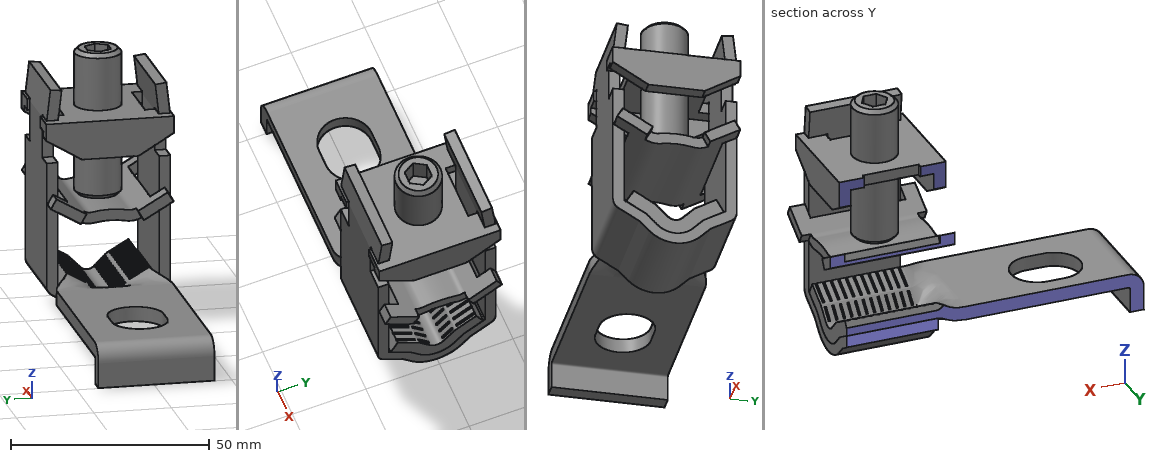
import cadquery as cq
import math


TROUGH_RADIUS = 9.4
STEEP_SLOPE = math.radians(45)
FLAT_SLOPE = math.radians(30)
STEEP_RUN = 2.6

SHEET = 2.9
CAGE_LENGTH = 25.1
CAGE_HALF_WIDTH = 16.0
SHOULDER_Z = 43.35
NECK_WIDTH = 14.6
EAR_BEND_Z = 54.0
EAR_BOTTOM_Z = 54.5
EAR_LENGTH = 8.7
EAR_TILT = math.radians(6.6)

STRAP_THICKNESS = 3.9
STRAP_WIDTH = 30.0
STRAP_TOP_Z = 11.9
STRAP_LEFT_X = -68.9
HOOK_BOTTOM_Z = 0.95
HOOK_INNER_RADIUS = 0.5
TRANSITION_START_X = -20.2
TRANSITION_STEPS = [(1.7, 0.09), (4.6, 0.5)]
TROUGH_EDGE_Y = 10.7
SLOT_LENGTH = 18.9
SLOT_WIDTH = 14.3
SLOT_X = -46.8
TROUGH_START_X = -12.2
GROOVE_PITCH = 2.1
GROOVE_WIDTH = 0.4
GROOVE_DEPTH = 0.2
GROOVE_COUNT = 12
GROOVE_ROW_GAP = 0.7

BRIDGE_TOP_Z = 54.3
BRIDGE_LENGTH = 29.2
BRIDGE_WIDTH = 33.0
BRIDGE_DEPTH = 9.9
BRIDGE_END_HEIGHT = 4.4
BRIDGE_FOOT_WIDTH = 14.6
FLANGE_THICKNESS = 3.35
BRIDGE_NOTCH_LENGTH = 15.3
BRIDGE_NOTCH_Y = 10.5

SCREW_DIAMETER = 12.0
SCREW_TOP_Z = 69.1
SCREW_TIP_Z = 30.8
SCREW_CHAMFER = 1.0
SOCKET_ACROSS_FLATS = 6.0
SOCKET_DEPTH = 6.0

FOLD_Y = 5.25
FOLD_Z = 33.1
FOLD_INNER_RADIUS = 2.8
ARM_SLOPE = math.radians(30)
ARM_LENGTH = 8.95
ARM_SPAN_X = 34.2
MIDDLE_SPAN_X = 29.2
PRONG_GAP = 26.0
PRONG_LENGTH = 4.3

CAGE_INNER_HALF_WIDTH = CAGE_HALF_WIDTH - SHEET


def polar(center, radius, angle):
    """Point at a distance from a center; the angle is measured from straight down toward +Y."""
    return center[0] + radius * math.sin(angle), center[1] - radius * math.cos(angle)


def mirrored(points):
    """The same points on the -Y side, in reverse order."""
    return [(-y, z) for y, z in reversed(points)]


def extrude_x(profile, length):
    """Extrude a YZ profile evenly to both sides of X = 0."""
    return profile.extrude(length / 2, both=True)


def arc_end(depth):
    """Upper end of the round bottom, on the trough surface at a depth inside the outer face."""
    return polar((0, TROUGH_RADIUS), TROUGH_RADIUS - depth, STEEP_SLOPE)


def kink(depth):
    """Edge between the steep and the flat slope, at a depth inside the outer face."""
    outer_y, outer_z = arc_end(0)
    outer_kink = (outer_y + STEEP_RUN, outer_z + STEEP_RUN * math.tan(STEEP_SLOPE))
    half_turn = (STEEP_SLOPE - FLAT_SLOPE) / 2
    return polar(outer_kink, -depth / math.cos(half_turn), FLAT_SLOPE + half_turn)


def flat_slope_point(depth, y):
    """Point of the flat slope at a given Y, at a depth inside the outer face."""
    kink_y, kink_z = kink(depth)
    return y, kink_z + (y - kink_y) * math.tan(FLAT_SLOPE)


def make_cage():
    corner = flat_slope_point(SHEET, CAGE_INNER_HALF_WIDTH)
    bend_angles = (FLAT_SLOPE, (FLAT_SLOPE + math.pi / 2) / 2, math.pi / 2)
    outer_bend = [polar(corner, SHEET, angle) for angle in bend_angles]

    bend_outer = (CAGE_HALF_WIDTH, EAR_BEND_Z)
    bend_inner = (CAGE_INNER_HALF_WIDTH, EAR_BEND_Z - SHEET * math.tan(EAR_TILT / 2))
    lean = math.pi + EAR_TILT
    wall_top = [bend_outer, polar(bend_outer, EAR_LENGTH, lean)]
    wall_top.append(polar(wall_top[1], -SHEET, math.pi / 2 + EAR_TILT))
    wall_top.append(bend_inner)

    inner = [corner, kink(SHEET), arc_end(SHEET)]
    left_outer = mirrored([arc_end(0), kink(0)])
    left_inner = mirrored(inner)
    left_bend = mirrored(outer_bend)
    profile = (
        cq.Workplane("YZ")
        .moveTo(*left_outer[1])
        .threePointArc((0, 0), arc_end(0))
        .lineTo(*kink(0))
        .lineTo(*outer_bend[0])
        .threePointArc(outer_bend[1], outer_bend[2])
    )
    for point in wall_top + inner:
        profile = profile.lineTo(*point)
    profile = profile.threePointArc((0, SHEET), left_inner[0])
    for point in left_inner[1:] + mirrored(wall_top):
        profile = profile.lineTo(*point)
    profile = (
        profile.lineTo(*left_bend[0])
        .threePointArc(left_bend[1], left_bend[2])
        .lineTo(*left_outer[0])
        .close()
    )
    cage = extrude_x(profile, CAGE_LENGTH)

    notch_length = (CAGE_LENGTH - NECK_WIDTH) / 2
    for side in (-1, 1):
        notch = cq.Workplane("XY").box(
            notch_length, 2 * CAGE_HALF_WIDTH, EAR_BOTTOM_Z - SHOULDER_Z, centered=(True, True, False)
        )
        cage = cage.cut(notch.translate((side * (NECK_WIDTH + notch_length) / 2, 0, SHOULDER_Z)))
    return cage


def strap_section(portion):
    """Half outlines (lower, upper) of the strap between flat (portion 0) and trough (portion 1).

    Each lists the points from the middle to the edge: middle, end of arc, kink, edge.
    """
    lower_depth = SHEET
    upper_depth = SHEET + STRAP_THICKNESS
    upper_edge = flat_slope_point(upper_depth, TROUGH_EDGE_Y)
    lower_edge = polar(upper_edge, STRAP_THICKNESS, FLAT_SLOPE)
    half_width = STRAP_WIDTH / 2
    flatness = 1 - portion
    outlines = []
    for depth, edge, flat_z in (
        (lower_depth, lower_edge, STRAP_TOP_Z - STRAP_THICKNESS),
        (upper_depth, upper_edge, STRAP_TOP_Z),
    ):
        trough = [(0, depth), arc_end(depth), kink(depth), edge]
        outline = []
        for y, z in trough:
            flat_y = y / edge[0] * half_width
            outline.append((portion * y + flatness * flat_y, portion * z + flatness * flat_z))
        outlines.append(outline)
    return outlines


def middle_stretch(wire, middle, end):
    """Continue a wire across the middle of the strap: a round bottom, or straight where it is flat."""
    is_flat = math.isclose(middle[1], end[1])
    return wire.lineTo(*end) if is_flat else wire.threePointArc(middle, end)


def strap_wire(x, portion):
    """Closed outline of the strap's cross-section at X."""
    lower, upper = strap_section(portion)
    lower_mirror = mirrored(lower)
    upper_mirror = mirrored(upper)
    wire = cq.Workplane("YZ", origin=(x, 0, 0)).moveTo(*lower_mirror[2])
    wire = middle_stretch(wire, lower[0], lower[1])
    for point in lower[2:] + upper[:0:-1]:
        wire = wire.lineTo(*point)
    wire = middle_stretch(wire, upper[0], upper_mirror[2])
    for point in upper_mirror[1::-1] + lower_mirror[:2]:
        wire = wire.lineTo(*point)
    return wire.close()


def make_strap():
    hook_outer_radius = HOOK_INNER_RADIUS + STRAP_THICKNESS
    strap = (
        cq.Workplane("XZ")
        .moveTo(TRANSITION_START_X, STRAP_TOP_Z)
        .lineTo(STRAP_LEFT_X, STRAP_TOP_Z)
        .lineTo(STRAP_LEFT_X, HOOK_BOTTOM_Z)
        .lineTo(STRAP_LEFT_X + STRAP_THICKNESS, HOOK_BOTTOM_Z)
        .lineTo(STRAP_LEFT_X + STRAP_THICKNESS, STRAP_TOP_Z - STRAP_THICKNESS)
        .lineTo(TRANSITION_START_X, STRAP_TOP_Z - STRAP_THICKNESS)
        .close()
        .extrude(STRAP_WIDTH / 2, both=True)
    )
    strap = strap.edges("|Y").edges("<X").edges(">Z").fillet(hook_outer_radius)
    inner_corner = cq.selectors.NearestToPointSelector(
        (STRAP_LEFT_X + STRAP_THICKNESS, 0, STRAP_TOP_Z - STRAP_THICKNESS)
    )
    strap = strap.edges("|Y").edges(inner_corner).fillet(HOOK_INNER_RADIUS)
    slot = (
        cq.Workplane("XY", origin=(SLOT_X, 0, 0))
        .slot2D(SLOT_LENGTH, SLOT_WIDTH)
        .extrude(STRAP_TOP_Z)
    )
    strap = strap.cut(slot)

    steps = [(TRANSITION_START_X + distance, portion) for distance, portion in TRANSITION_STEPS]
    stations = [(TRANSITION_START_X, 0)] + steps + [(TROUGH_START_X, 1)]
    wires = [strap_wire(x, portion).val() for x, portion in stations]
    strap = strap.union(cq.Workplane("XY").add(cq.Solid.makeLoft(wires)))

    trough = strap_wire(TROUGH_START_X, 1).extrude(CAGE_LENGTH / 2 - TROUGH_START_X)
    return strap.union(cut_grooves(trough))


def cut_grooves(trough):
    """Cut rows of grooves across the two slopes on each side of the trough."""
    depth = SHEET + STRAP_THICKNESS
    comb = [(0, -GROOVE_DEPTH)]
    for number in range(GROOVE_COUNT):
        groove_start = (number + 0.5) * GROOVE_PITCH - GROOVE_WIDTH / 2
        groove_end = groove_start + GROOVE_WIDTH
        comb += [(groove_start, 0), (groove_start, GROOVE_DEPTH)]
        comb += [(groove_end, GROOVE_DEPTH), (groove_end, 0)]
    comb.append((GROOVE_COUNT * GROOVE_PITCH, -GROOVE_DEPTH))

    steep_row = (arc_end(depth), polar(kink(depth), -GROOVE_ROW_GAP, STEEP_SLOPE + math.pi / 2))
    flat_row = (
        polar(kink(depth), GROOVE_ROW_GAP, FLAT_SLOPE + math.pi / 2),
        flat_slope_point(depth, TROUGH_EDGE_Y),
    )
    for foot, head in (steep_row, flat_row):
        up_slope = (0, head[0] - foot[0], head[1] - foot[1])
        plane = cq.Plane(origin=(TROUGH_START_X, *foot), xDir=(1, 0, 0), normal=up_slope)
        grooves = cq.Workplane(plane).polyline(comb).close().extrude(math.dist(foot, head))
        trough = trough.cut(grooves).cut(grooves.mirror("XZ"))
    return trough


def make_bridge():
    half_width = BRIDGE_WIDTH / 2
    bottom_z = BRIDGE_TOP_Z - BRIDGE_DEPTH
    right_side = [
        (BRIDGE_FOOT_WIDTH / 2, bottom_z),
        (half_width, BRIDGE_TOP_Z - BRIDGE_END_HEIGHT),
        (half_width, BRIDGE_TOP_Z),
    ]
    profile = cq.Workplane("YZ").polyline(right_side + mirrored(right_side)).close()
    bridge = extrude_x(profile, BRIDGE_LENGTH)

    hollow = cq.Workplane("XY").box(
        BRIDGE_LENGTH - 2 * FLANGE_THICKNESS, BRIDGE_WIDTH, BRIDGE_DEPTH - SHEET, centered=(True, True, False)
    )
    bridge = bridge.cut(hollow.translate((0, 0, bottom_z)))

    notch_width = half_width - BRIDGE_NOTCH_Y
    for side in (-1, 1):
        notch = cq.Workplane("XY").box(
            BRIDGE_NOTCH_LENGTH, notch_width, BRIDGE_DEPTH, centered=(True, True, False)
        )
        bridge = bridge.cut(notch.translate((0, side * (BRIDGE_NOTCH_Y + notch_width / 2), bottom_z)))

    screw_hole = cq.Workplane("XY", origin=(0, 0, bottom_z)).circle(SCREW_DIAMETER / 2).extrude(BRIDGE_DEPTH)
    return bridge.cut(screw_hole)


def make_screw():
    screw = (
        cq.Workplane("XY", origin=(0, 0, SCREW_TIP_Z))
        .circle(SCREW_DIAMETER / 2)
        .extrude(SCREW_TOP_Z - SCREW_TIP_Z)
        .edges()
        .chamfer(SCREW_CHAMFER)
    )
    across_corners = SOCKET_ACROSS_FLATS / math.cos(math.radians(30))
    socket = (
        cq.Workplane("XY", origin=(0, 0, SCREW_TOP_Z - SOCKET_DEPTH))
        .polygon(6, across_corners)
        .extrude(SOCKET_DEPTH)
    )
    return screw.cut(socket)


def make_pressure_plate():
    fold = (FOLD_Y, FOLD_Z)
    inner = FOLD_INNER_RADIUS
    outer = inner + SHEET

    rise = FOLD_Z - SCREW_TIP_Z
    arch_top_radius = (FOLD_Y**2 + rise**2 - inner**2) / (2 * (inner - rise))
    arch_center_z = SCREW_TIP_Z - arch_top_radius
    joint_angle = -math.atan2(FOLD_Y, FOLD_Z - arch_center_z)
    bend_angles = (joint_angle, (joint_angle + ARM_SLOPE) / 2, ARM_SLOPE)

    lower_bend = [polar(fold, outer, angle) for angle in bend_angles]
    upper_bend = [polar(fold, inner, angle) for angle in bend_angles]
    lower_mirror = mirrored(lower_bend)
    upper_mirror = mirrored(upper_bend)
    middle = (
        cq.Workplane("YZ")
        .moveTo(*lower_mirror[0])
        .threePointArc(lower_mirror[1], lower_mirror[2])
        .threePointArc((0, SCREW_TIP_Z - SHEET), lower_bend[0])
        .threePointArc(lower_bend[1], lower_bend[2])
        .lineTo(*upper_bend[2])
        .threePointArc(upper_bend[1], upper_bend[0])
        .threePointArc((0, SCREW_TIP_Z), upper_mirror[2])
        .threePointArc(upper_mirror[1], upper_mirror[0])
        .close()
    )
    plate = extrude_x(middle, MIDDLE_SPAN_X)

    along_arm = ARM_SLOPE + math.pi / 2
    arm = [
        lower_bend[2],
        polar(lower_bend[2], ARM_LENGTH, along_arm),
        polar(upper_bend[2], ARM_LENGTH, along_arm),
        upper_bend[2],
    ]
    fork = [
        polar(arm[1], -PRONG_LENGTH, along_arm),
        arm[1],
        arm[2],
        polar(arm[2], -PRONG_LENGTH, along_arm),
    ]
    for arm_points, fork_points in ((arm, fork), (mirrored(arm), mirrored(fork))):
        arm_body = extrude_x(cq.Workplane("YZ").polyline(arm_points).close(), ARM_SPAN_X)
        fork_gap = extrude_x(cq.Workplane("YZ").polyline(fork_points).close(), PRONG_GAP)
        plate = plate.union(arm_body.cut(fork_gap))
    return plate


cage = make_cage()
strap = make_strap()
bridge = make_bridge()
screw = make_screw()
pressure_plate = make_pressure_plate()

result = cq.Compound.makeCompound(
    [cage.val(), strap.val(), bridge.val(), screw.val(), pressure_plate.val()]
)